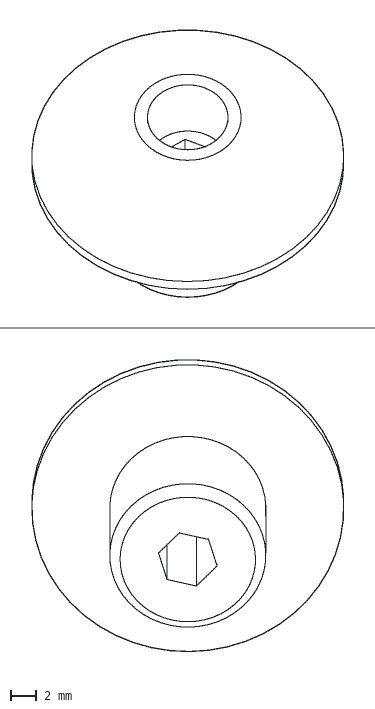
import cadquery as cq
import math

head_diameter = 24.0
head_top_diameter = 8.2
total_height = 16.0
rim_thickness = 1.0
shank_diameter = head_diameter / 2
shank_length = 10.0
tip_chamfer = 0.8
bore_diameter = 6.2
hex_across_flats = 4.0

rim_top = shank_length + rim_thickness
bore_depth = total_height - shank_length
hex_across_corners = hex_across_flats / math.cos(math.pi / 6)


def make_body():
    """Revolve the conical head, its thin rim and the chamfered shank."""
    shank_radius = shank_diameter / 2
    head_radius = head_diameter / 2
    profile = [
        (0, 0),
        (shank_radius - tip_chamfer, 0),
        (shank_radius, tip_chamfer),
        (shank_radius, shank_length),
        (head_radius, shank_length),
        (head_radius, rim_top),
        (head_top_diameter / 2, total_height),
        (0, total_height),
    ]
    return cq.Workplane("XZ").polyline(profile).close().revolve(360, (0, 0, 0), (0, 1, 0))


def make_bore():
    """Round bore from the top down to the underside of the head."""
    return cq.Workplane("XY").workplane(offset=shank_length).circle(bore_diameter / 2).extrude(bore_depth)


def make_hex_passage():
    """Hexagonal passage through the part, with two corners on the Y axis."""
    return (
        cq.Workplane("XY")
        .transformed(rotate=(0, 0, 90))
        .polygon(6, hex_across_corners)
        .extrude(total_height)
    )


result = make_body().cut(make_bore()).cut(make_hex_passage())